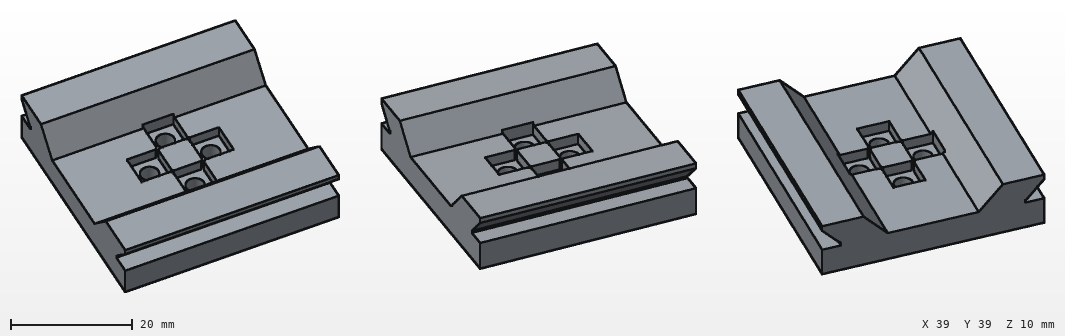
import cadquery as cq

side = 39.0
height = 10.0
half_side = side / 2

floor_z = 5.4
floor_half_width = 7.98
rim_half_width = 12.23

ledge_z = 5.1
groove_depth = 3.3
groove_wall_height = 0.4
groove_root_x = half_side - groove_depth
groove_roof_z = ledge_z + groove_wall_height
lip_height = 0.95
lip_z = height - lip_height

pocket_side = 5.6
pocket_depth = 2.0
pocket_floor_z = floor_z - pocket_depth
hole_diameter = 3.2
corner_passage_side = 0.48
pocket_centers = [
    (pocket_side, 0),
    (-pocket_side, 0),
    (0, pocket_side),
    (0, -pocket_side),
]
island_corners = [(x * pocket_side / 2, y * pocket_side / 2) for x in (-1, 1) for y in (-1, 1)]


def make_rail_body():
    """Extrude the symmetric rail profile along Y."""
    right_half = [
        (half_side, 0),
        (half_side, ledge_z),
        (groove_root_x, ledge_z),
        (groove_root_x, groove_roof_z),
        (half_side, lip_z),
        (half_side, height),
        (rim_half_width, height),
        (floor_half_width, floor_z),
    ]
    left_half = [(-x, z) for x, z in reversed(right_half)]
    return cq.Workplane("XZ").polyline(right_half + left_half).close().extrude(half_side, both=True)


def make_pockets():
    """Square pockets plus the small diamonds that open their shared corners."""
    cut_height = height - pocket_floor_z
    base = cq.Workplane("XY", origin=(0, 0, pocket_floor_z))
    squares = base.pushPoints(pocket_centers).rect(pocket_side, pocket_side).extrude(cut_height)
    for x, y in island_corners:
        diamond = (
            cq.Workplane("XY", origin=(x, y, pocket_floor_z))
            .transformed(rotate=(0, 0, 45))
            .rect(corner_passage_side, corner_passage_side)
            .extrude(cut_height)
        )
        squares = squares.union(diamond)
    return squares


def make_holes():
    """One through hole at the centre of each pocket."""
    return cq.Workplane("XY").pushPoints(pocket_centers).circle(hole_diameter / 2).extrude(height)


result = make_rail_body().cut(make_pockets()).cut(make_holes())